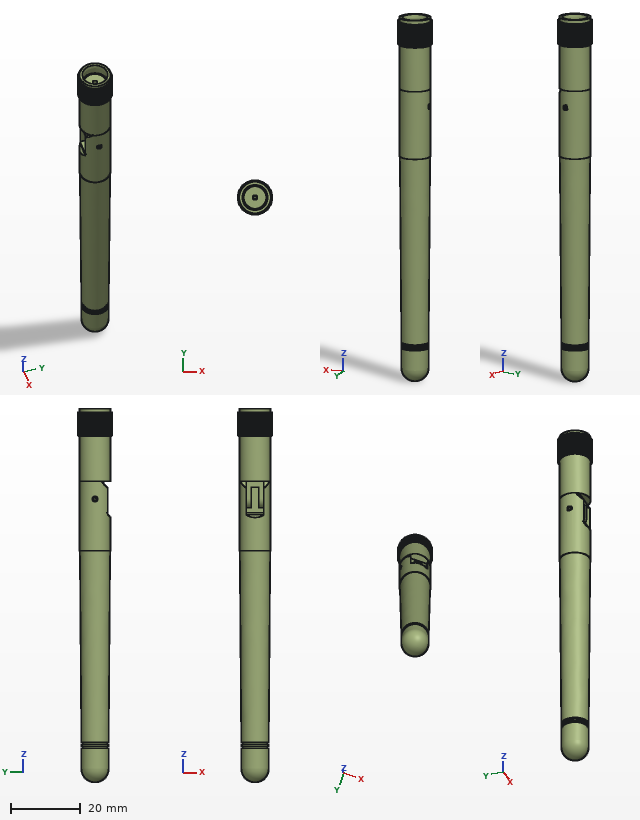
import cadquery as cq
import math

length = 107.5
tube_radius = 4.5

tip_radius = 4.0
groove_radius = 3.5
groove_width = 0.5
groove_rib = 0.5
groove_bottom = 9.9
taper_bottom = groove_bottom + 2 * groove_width + groove_rib
taper_top = 66.5
taper_top_radius = 4.4
joint_z = 86.5

slot_half_width = 2.6
slot_floor = 77.5
relief_y = -math.sqrt(tube_radius**2 - slot_half_width**2)
relief_sill = 0.5
relief_floor = slot_floor - relief_sill
corner_bevel_start = -1.8

hinge_z = 81.5
knuckle_radius = 2.6
leg_gap_half_width = 1.1
leg_gap_top = 84.9
pin_hole_radius = 1.5 / 2
pin_radius = 1.4 / 2
pin_tip_radius = 0.81 / 2
pin_reach = 4.2
pin_taper = 0.3

collar_bottom = 99.5
collar_top = 106.4
collar_radius = 10.0 / 2
collar_bevel = 0.3
tooth_count = 82
tooth_depth = 0.3

socket_radius = 3.4
socket_mouth_radius = 3.7
socket_mouth_depth = 1.0
socket_depth = 3.2
contact_radius = 1.4 / 2
contact_bore_radius = 0.81 / 2
insulator_radius = 3.2
insulator_step = 0.2
contact_depth = 2.2
contact_bore_depth = 4.3


def cylinder(radius, bottom, top):
    """Solid round bar on the Z axis between two heights."""
    return cq.Workplane("XY").workplane(offset=bottom).circle(radius).extrude(top - bottom)


def x_cylinder(radius, reach):
    """Solid round bar on the hinge axis, reaching equally far to both sides."""
    return cq.Workplane("YZ").center(0, hinge_z).circle(radius).extrude(reach, both=True)


def yz_prism(points, half_width):
    """Prism across X with the given (y, z) outline."""
    return cq.Workplane("YZ").polyline(points).close().extrude(half_width, both=True)


def make_whip_blank():
    """Turned shape of the whip, without the hinge cuts."""
    first_groove_top = groove_bottom + groove_width
    second_groove_bottom = first_groove_top + groove_rib
    arc_middle = tip_radius * math.sqrt(0.5)
    return (
        cq.Workplane("XZ")
        .moveTo(0, 0)
        .threePointArc((arc_middle, tip_radius - arc_middle), (tip_radius, tip_radius))
        .lineTo(tip_radius, groove_bottom)
        .lineTo(groove_radius, groove_bottom)
        .lineTo(groove_radius, first_groove_top)
        .lineTo(tip_radius, first_groove_top)
        .lineTo(tip_radius, second_groove_bottom)
        .lineTo(groove_radius, second_groove_bottom)
        .lineTo(groove_radius, taper_bottom)
        .lineTo(tip_radius, taper_bottom)
        .lineTo(taper_top_radius, taper_top)
        .lineTo(tube_radius, taper_top)
        .lineTo(tube_radius, joint_z)
        .lineTo(0, joint_z)
        .close()
        .revolve(360, (0, 0), (0, 1))
    )


def make_front_relief():
    """Flat in front of the slot, running out at 45 degrees below and beveled at the top."""
    runout = tube_radius + relief_y
    bevel_drop = corner_bevel_start - relief_y
    outline = [
        (corner_bevel_start, joint_z),
        (relief_y, joint_z - bevel_drop),
        (relief_y, relief_floor),
        (-tube_radius, relief_floor - runout),
        (-tube_radius, joint_z),
    ]
    return yz_prism(outline, tube_radius)


def make_slot():
    """Slot between the clevis cheeks, closed at the back."""
    outline = [
        (-tube_radius, slot_floor),
        (knuckle_radius, slot_floor),
        (knuckle_radius, joint_z),
        (-tube_radius, joint_z),
    ]
    return yz_prism(outline, slot_half_width)


def make_whip():
    """Antenna whip with the clevis half of the hinge."""
    pin_holes = x_cylinder(pin_hole_radius, tube_radius)
    return make_whip_blank().cut(make_front_relief()).cut(make_slot()).cut(pin_holes)


def make_collar():
    """Knurled collar, beveled at its lower edge."""
    root_radius = collar_radius - tooth_depth
    half_pitch = math.pi / tooth_count
    points = []
    for i in range(2 * tooth_count):
        radius = collar_radius if i % 2 == 0 else root_radius
        angle = i * half_pitch
        points.append((radius * math.cos(angle), radius * math.sin(angle)))
    teeth = (
        cq.Workplane("XY").workplane(offset=collar_bottom).polyline(points).close()
        .extrude(collar_top - collar_bottom)
    )
    envelope = cylinder(collar_radius, collar_bottom, collar_top).faces("<Z").chamfer(collar_bevel)
    return teeth.intersect(envelope)


def make_socket():
    """Space inside the socket: conical mouth, bore, small step and stepped contact hole."""
    floor = length - socket_depth
    mouth_bottom = length - socket_mouth_depth
    return (
        cq.Workplane("XZ")
        .moveTo(0, length)
        .lineTo(socket_mouth_radius, length)
        .lineTo(socket_radius, mouth_bottom)
        .lineTo(socket_radius, floor + insulator_step)
        .lineTo(insulator_radius, floor + insulator_step)
        .lineTo(insulator_radius, floor)
        .lineTo(contact_radius, floor)
        .lineTo(contact_radius, floor - contact_depth)
        .lineTo(contact_bore_radius, floor - contact_depth)
        .lineTo(contact_bore_radius, floor - contact_bore_depth)
        .lineTo(0, floor - contact_bore_depth)
        .close()
        .revolve(360, (0, 0), (0, 1))
    )


def make_tongue():
    """Two round-ended hinge legs below the joint."""
    block = yz_prism(
        [(-knuckle_radius, hinge_z), (knuckle_radius, hinge_z),
         (knuckle_radius, joint_z), (-knuckle_radius, joint_z)],
        slot_half_width,
    )
    gap = yz_prism(
        [(-knuckle_radius, slot_floor), (knuckle_radius, slot_floor),
         (knuckle_radius, leg_gap_top), (-knuckle_radius, leg_gap_top)],
        leg_gap_half_width,
    )
    return block.union(x_cylinder(knuckle_radius, slot_half_width)).cut(gap)


def make_pins():
    """Hinge pins on the outer sides of the legs, with tapered ends."""
    pin_inset = pin_radius - pin_tip_radius
    pins = x_cylinder(pin_radius, pin_reach).faces("<X or >X").chamfer(pin_taper, pin_inset)
    return pins.cut(x_cylinder(tube_radius, leg_gap_half_width))


def make_connector():
    """Knurled connector with the tongue half of the hinge."""
    body = cylinder(tube_radius, joint_z, length).union(make_collar()).cut(make_socket())
    return body.union(make_tongue()).union(make_pins())


whip = make_whip()
connector = make_connector()
result = cq.Compound.makeCompound([whip.val(), connector.val()])